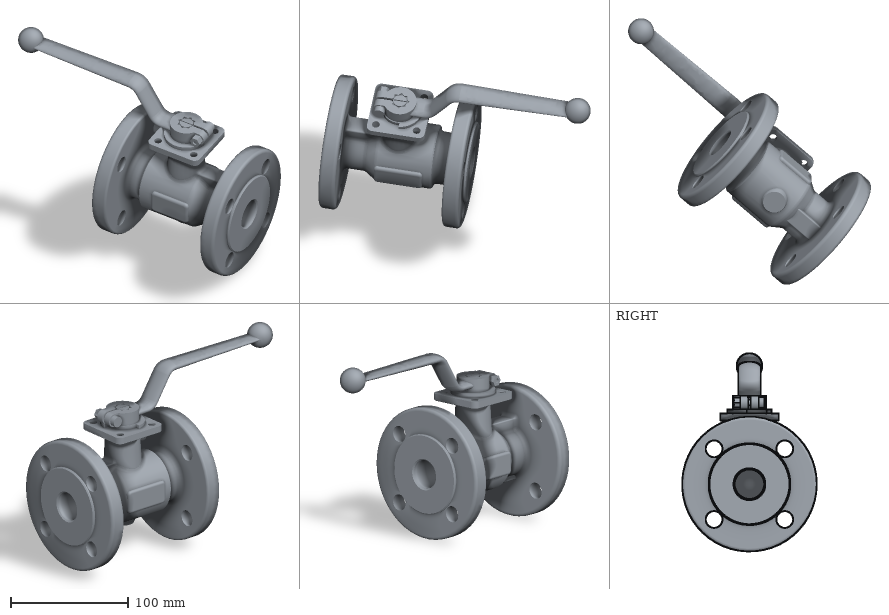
import cadquery as cq
import math


face_x = 62.5
bore_dia = 25.0
bore_chamfer = 1.1
raised_face_dia = 68.0
raised_face_height = 2.0
raised_face_flare = 1.0
flange_dia = 115.0
flange_thickness = 14.0
seat_x = face_x - raised_face_height
flange_inner_x = seat_x - flange_thickness
flange_rounding = 2.7
left_flange_inner_rounding = 2.0
right_flange_inner_rounding = 3.0
bolt_circle_dia = 85.0
bolt_hole_dia = 14.0
bolt_count = 4
first_bolt_angle = 45

body_dia = 55.0
body_left_x = -31.6
body_right_x = 17.0
body_chamfer = 1.1
left_neck_dia = 45.0
right_neck_dia = 41.9
right_cone_end_x = 27.3
cone_fillet = 4.5
neck_fillet = 3.9

rib_start_x = 12.5
rib_width = 15.5
rib_rounding = 1.1
top_rib_foot_fillet = 3.5
top_rib_z = 30.3
bottom_rib_z = -24.1

plate_pad_y = 28.7
plate_pad_height = 20.5
pad_corner_radius = 3.2
pad_edge_rounding = 2.3
front_pad_left_x = -18.5
back_pad_left_x = -24.1
pad_right_x = 17.7
boss_base_dia = 23.2
boss_face_dia = 19.0
boss_face_z = -30.0
boss_root_z = -25.3

bonnet_axis_dia = 35.3
bonnet_top_dia = 29.5
bonnet_top_fillet = 1.5
bonnet_fillet = 3.6
mount_width = 50.0
mount_bottom_z = 54.1
mount_top_z = 60.3
mount_corner_radius = 5.2
mount_bevel = 0.5
mount_hole_dia = 6.5
mount_hole_pitch = 35.3

disc_dia = 38.2
disc_core_dia = 29.8
disc_top_z = 63.7
stop_edge = -2.3
hub_dia = 28.2
hub_top_z = 75.3
ear_width = 15.5
screw_x = 16.0
ear_height = hub_top_z - disc_top_z
screw_z = disc_top_z + ear_height / 2
clamp_slot_width = 2.0
clamp_slot_start_x = 6.1

screw_dia = 5.0
screw_head_dia = 9.0
screw_head_height = 4.8
nut_corner_dia = 9.5
nut_sides = 6
nut_height = 5.5
nut_recess_dia = 4.0
nut_recess_depth = 1.4

star_square = 11.4
star_turn = 45
star_depth = 1.4
stem_slot_width = 1.0
stem_slot_left_x = -8.0

ball_dia = 22.0
ball_end_x = -165.0
ball_x = ball_end_x + ball_dia / 2
ball_z = 100.5
lever_top_z = 100.3
lever_root_z = 69.5
lever_top_corner_x = -46.9
lever_root_corner_x = -27.0
lever_bend_radius = 10.5
lever_root_x = -6.8
lever_width = 19.3
lever_thickness = 8.2
lever_tip_width = 16.2
lever_tip_thickness = 4.8

pick_margin = 0.2


def cylinder_z(diameter, bottom, top):
    return cq.Workplane("XY", origin=(0, 0, bottom)).circle(diameter / 2).extrude(top - bottom)


def box_between(x, y, z):
    size = [limits[1] - limits[0] for limits in (x, y, z)]
    corner = (x[0], y[0], z[0])
    return cq.Workplane("XY").box(*size, centered=False).translate(corner)


def box_selector(x, y, z):
    """Selector for edges whose centres lie in the given ranges or just outside them."""
    low = [limits[0] - pick_margin for limits in (x, y, z)]
    high = [limits[1] + pick_margin for limits in (x, y, z)]
    return cq.selectors.BoxSelector(low, high)


def make_flange(inner_rounding):
    """Flange with its raised sealing face at +X; the mirror image serves the other end."""
    inner_plane = cq.Workplane("YZ", origin=(flange_inner_x, 0, 0))
    flange = inner_plane.circle(flange_dia / 2).extrude(flange_thickness)
    flange = flange.faces(">X").edges().fillet(flange_rounding)
    flange = flange.faces("<X").edges().fillet(inner_rounding)
    base_dia = raised_face_dia + 2 * raised_face_flare
    raised_face = cq.Workplane("YZ", origin=(seat_x, 0, 0)).circle(base_dia / 2).extrude(raised_face_height)
    raised_face = raised_face.faces(">X").edges().chamfer(raised_face_flare)
    bolt_holes = (
        inner_plane.polarArray(bolt_circle_dia / 2, first_bolt_angle, 360, bolt_count)
        .circle(bolt_hole_dia / 2)
        .extrude(flange_thickness + raised_face_height)
    )
    return flange.union(raised_face).cut(bolt_holes)


def make_bore():
    """Blind bore with a chamfered mouth at +X; it stops where the body begins."""
    bottom_x = -body_left_x
    bore = cq.Workplane("YZ", origin=(bottom_x, 0, 0)).circle(bore_dia / 2).extrude(face_x - bottom_x)
    mouth = (
        cq.Workplane("XY")
        .moveTo(face_x - bore_chamfer, 0)
        .lineTo(face_x - bore_chamfer, bore_dia / 2)
        .lineTo(face_x, bore_dia / 2 + bore_chamfer)
        .lineTo(face_x, 0)
        .close()
        .revolve(360, (0, 0, 0), (1, 0, 0))
    )
    return bore.union(mouth)


def make_body():
    """Turned body with filleted necks between the two flanges."""
    body_r = body_dia / 2
    left_r = left_neck_dia / 2
    right_r = right_neck_dia / 2
    arc_mid = neck_fillet * (1 - math.sqrt(0.5))
    profile = (
        cq.Workplane("XZ")
        .moveTo(-flange_inner_x, 0)
        .lineTo(-flange_inner_x, left_r + neck_fillet)
        .threePointArc(
            (-flange_inner_x + arc_mid, left_r + arc_mid),
            (-flange_inner_x + neck_fillet, left_r),
        )
        .lineTo(body_left_x - neck_fillet, left_r)
        .threePointArc(
            (body_left_x - arc_mid, left_r + arc_mid),
            (body_left_x, left_r + neck_fillet),
        )
        .lineTo(body_left_x + body_chamfer, body_r)
        .lineTo(body_right_x, body_r)
        .lineTo(right_cone_end_x, right_r)
        .lineTo(flange_inner_x - neck_fillet, right_r)
        .threePointArc(
            (flange_inner_x - arc_mid, right_r + arc_mid),
            (flange_inner_x, right_r + neck_fillet),
        )
        .lineTo(flange_inner_x, 0)
        .close()
    )
    body = profile.revolve(360, (0, 0, 0), (1, 0, 0))
    cone_ends = box_selector((body_right_x, right_cone_end_x), (-body_dia, body_dia), (-body_dia, body_dia))
    return body.edges("%CIRCLE").edges(cone_ends).fillet(cone_fillet)


def make_rib(outer_z):
    """Flat-topped rib from the body to the right flange."""
    z = (min(0, outer_z), max(0, outer_z))
    rib = box_between((rib_start_x, flange_inner_x), (-rib_width / 2, rib_width / 2), z)
    outer_face = ">Z" if outer_z > 0 else "<Z"
    return rib.faces(outer_face).edges("|X").fillet(rib_rounding)


def top_rib_foot_selector():
    """Picks the seams of the top rib with the neck, the cone and the flange, not its rounded top edges."""
    half_width = rib_width / 2
    lowest_z = right_neck_dia / 4
    highest_z = top_rib_z - rib_rounding - 2 * pick_margin
    seam_x = (body_right_x + cone_fillet / 2, flange_inner_x)
    return box_selector(seam_x, (-half_width, half_width), (lowest_z, highest_z))


def make_pad(left_x, side):
    """Rounded name plate on one flank; side is -1 for -Y and +1 for +Y."""
    half_height = plate_pad_height / 2
    pad = box_between((left_x, pad_right_x), (0, plate_pad_y), (-half_height, half_height))
    pad = pad.edges("|Y").fillet(pad_corner_radius)
    pad = pad.faces(">Y").edges().fillet(pad_edge_rounding)
    return pad if side > 0 else pad.mirror("XZ")


def make_boss():
    """Tapered round boss under the body."""
    return (
        cq.Workplane("XY", origin=(0, 0, boss_root_z))
        .circle(boss_base_dia / 2)
        .workplane(offset=boss_face_z - boss_root_z)
        .circle(boss_face_dia / 2)
        .loft()
    )


def make_bonnet():
    """Tapered neck between the body and the mounting plate."""
    return (
        cq.Workplane("XY")
        .circle(bonnet_axis_dia / 2)
        .workplane(offset=mount_bottom_z)
        .circle(bonnet_top_dia / 2)
        .loft()
    )


def make_mount():
    """Square mounting plate with four holes."""
    mount = (
        cq.Workplane("XY", origin=(0, 0, mount_bottom_z))
        .rect(mount_width, mount_width)
        .extrude(mount_top_z - mount_bottom_z)
        .edges("|Z")
        .fillet(mount_corner_radius)
        .faces("<Z")
        .edges()
        .chamfer(mount_bevel)
    )
    holes = (
        cq.Workplane("XY", origin=(0, 0, mount_bottom_z))
        .rect(mount_hole_pitch, mount_hole_pitch, forConstruction=True)
        .vertices()
        .circle(mount_hole_dia / 2)
        .extrude(mount_top_z - mount_bottom_z)
    )
    return mount.cut(holes)


def make_stop_disc():
    """Disc with one quadrant cut back to its core, leaving the lever stops."""
    disc = cylinder_z(disc_dia, mount_top_z, disc_top_z)
    quadrant = box_between((stop_edge, disc_dia), (stop_edge, disc_dia), (mount_top_z, disc_top_z))
    return disc.cut(quadrant).union(cylinder_z(disc_core_dia, mount_top_z, disc_top_z))


def make_hub():
    """Clamp hub with two ears, a clamping slot and a star socket holding the stem."""
    ear_block = box_between((0, screw_x), (-ear_width / 2, ear_width / 2), (disc_top_z, hub_top_z))
    ear_end = (
        cq.Workplane("XZ", origin=(screw_x, ear_width / 2, screw_z))
        .circle(ear_height / 2)
        .extrude(ear_width)
    )
    hub = cylinder_z(hub_dia, disc_top_z, hub_top_z).union(ear_block).union(ear_end)

    half_slot = clamp_slot_width / 2
    clamp_slot = box_between((clamp_slot_start_x, hub_dia), (-half_slot, half_slot), (disc_top_z, hub_top_z))
    hub = hub.cut(clamp_slot)

    socket_plane = cq.Workplane("XY", origin=(0, 0, hub_top_z - star_depth))
    square = socket_plane.rect(star_square, star_square).extrude(star_depth)
    star = square.union(square.rotate((0, 0, 0), (0, 0, 1), star_turn))
    stem = socket_plane.circle(star_square / 2).extrude(star_depth)
    hub = hub.cut(star).union(stem)

    half_groove = stem_slot_width / 2
    groove_z = (hub_top_z - star_depth, hub_top_z)
    stem_groove = box_between((stem_slot_left_x, clamp_slot_start_x), (-half_groove, half_groove), groove_z)
    return hub.cut(stem_groove)


def make_clamp_screw():
    """Screw across the ears: round head on +Y, hexagonal nut on -Y."""
    half_width = ear_width / 2
    shank = cq.Workplane("XZ", origin=(screw_x, half_width, screw_z)).circle(screw_dia / 2).extrude(ear_width)
    head = (
        cq.Workplane("XZ", origin=(screw_x, half_width + screw_head_height, screw_z))
        .circle(screw_head_dia / 2)
        .extrude(screw_head_height)
    )
    nut = (
        cq.Workplane("XZ", origin=(screw_x, -half_width, screw_z))
        .polygon(nut_sides, nut_corner_dia)
        .extrude(nut_height)
        .faces("<Y")
        .workplane()
        .circle(nut_recess_dia / 2)
        .cutBlind(-nut_recess_depth)
    )
    return shank.union(head).union(nut)


def make_lever():
    """Ball-ended lever of oval section that widens from the ball and cranks down to the hub."""
    drop_angle = math.atan2(lever_top_z - lever_root_z, lever_root_corner_x - lever_top_corner_x)
    tangent = lever_bend_radius * math.tan(drop_angle / 2)
    half_turn = drop_angle / 2
    step_x = tangent * math.cos(drop_angle)
    step_z = tangent * math.sin(drop_angle)
    mid_x = lever_bend_radius * math.sin(half_turn)
    mid_z = lever_bend_radius * (1 - math.cos(half_turn))
    bend_start_x = lever_top_corner_x - tangent
    bend_end_x = lever_root_corner_x + tangent

    path = (
        cq.Workplane("XZ")
        .moveTo(bend_start_x, lever_top_z)
        .threePointArc(
            (bend_start_x + mid_x, lever_top_z - mid_z),
            (lever_top_corner_x + step_x, lever_top_z - step_z),
        )
        .lineTo(lever_root_corner_x - step_x, lever_root_z + step_z)
        .threePointArc(
            (bend_end_x - mid_x, lever_root_z + mid_z),
            (bend_end_x, lever_root_z),
        )
        .lineTo(lever_root_x, lever_root_z)
    )
    crank = (
        cq.Workplane("YZ", origin=(bend_start_x, 0, lever_top_z))
        .ellipse(lever_width / 2, lever_thickness / 2)
        .sweep(path)
    )
    handle = (
        cq.Workplane("YZ", origin=(ball_x, 0, lever_top_z))
        .ellipse(lever_tip_width / 2, lever_tip_thickness / 2)
        .workplane(offset=bend_start_x - ball_x)
        .ellipse(lever_width / 2, lever_thickness / 2)
        .loft()
    )
    ball = cq.Workplane("XY").sphere(ball_dia / 2).translate((ball_x, 0, ball_z))
    return crank.union(handle).union(ball)


casting = make_body().union(make_bonnet())
foot_span = (-bonnet_axis_dia / 2, bonnet_axis_dia / 2)
bonnet_foot = box_selector(foot_span, foot_span, (body_dia / 4, body_dia / 2))
casting = casting.edges(bonnet_foot).edges("not |X").fillet(bonnet_fillet)
casting = casting.union(make_flange(right_flange_inner_rounding))
casting = casting.union(make_flange(left_flange_inner_rounding).mirror("YZ"))
casting = casting.union(make_rib(bottom_rib_z)).union(make_rib(top_rib_z))
casting = casting.edges(top_rib_foot_selector()).fillet(top_rib_foot_fillet)
casting = casting.union(make_pad(front_pad_left_x, -1)).union(make_pad(back_pad_left_x, 1))
casting = casting.union(make_boss()).union(make_mount())
head_span = (-bonnet_top_dia / 2, bonnet_top_dia / 2)
bonnet_head = box_selector(head_span, head_span, (mount_bottom_z, mount_bottom_z))
casting = casting.edges(bonnet_head).fillet(bonnet_top_fillet)

bore = make_bore()
casting = casting.cut(bore).cut(bore.mirror("YZ"))

result = casting.union(make_stop_disc())
result = result.union(make_hub()).union(make_clamp_screw()).union(make_lever())